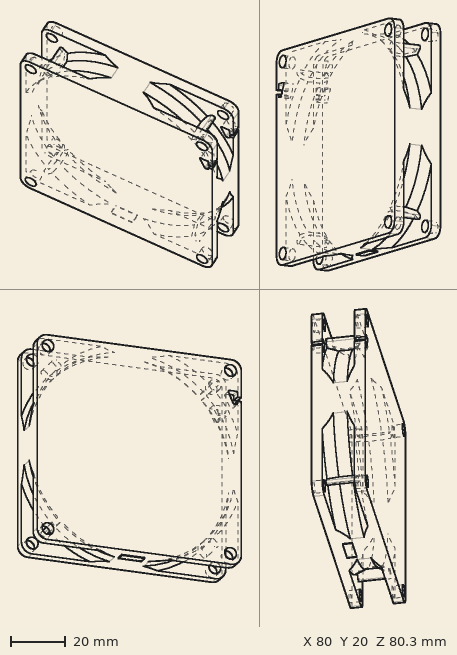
import cadquery as cq

side = 80.0
depth = 20.0
half_side = side / 2
flange_thickness = 4.0
corner_radius = 4.0

waist_start = 8.2
waist_end = 13.3
waist_radius = 40.55
flare_radius = 42.15

hole_spacing = 71.5
hole_diameter = 4.5

rib_root_distance = 38.55
rib_tip_distance = 45.45
rib_width = 1.9
rib_tip_fillet = 0.9

notch_inner_x = 34.6
notch_outer_x = 38.5
notch_foot_x = 36.9
notch_top_z = 27.9
notch_bottom_z = 22.8
notch_corner_radius = 0.5
slot_top_z = 25.7
slot_bottom_z = 24.1

pad_start_x = -5.0
pad_end_x = 4.0
pad_start_y = 4.8
pad_end_y = 8.4
pad_height = 0.3


def slab(outline, start_y, thickness):
    """Extrude a closed XZ outline towards +Y from start_y."""
    return outline.extrude(-thickness).translate((0, start_y, 0))


def square_block(start_y, thickness):
    block = slab(cq.Workplane("XZ").rect(side, side), start_y, thickness)
    return block.edges("|Y").fillet(corner_radius)


def make_drum():
    """Waisted drum about the Y axis, trimmed flush with the four sides."""
    profile = [
        (0, 0),
        (flare_radius, 0),
        (flare_radius, flange_thickness),
        (waist_radius, waist_start),
        (waist_radius, waist_end),
        (flare_radius, depth - flange_thickness),
        (flare_radius, depth),
        (0, depth),
    ]
    drum = cq.Workplane("XY").polyline(profile).close().revolve(360, (0, 0, 0), (0, 1, 0))
    return drum.intersect(square_block(0, depth))


def make_rib(diagonal_angle):
    """Radial rib between the flanges, rooted inside the drum."""
    rib = cq.Workplane("XY").box(
        rib_tip_distance - rib_root_distance,
        depth - 2 * flange_thickness,
        rib_width,
        centered=(False, False, True),
    )
    rib = rib.edges("|Y and >X").fillet(rib_tip_fillet)
    rib = rib.translate((rib_root_distance, flange_thickness, 0))
    return rib.rotate((0, 0, 0), (0, 1, 0), diagonal_angle)


def make_notch():
    pocket_outline = [
        (notch_inner_x, notch_top_z),
        (notch_outer_x, notch_top_z),
        (notch_outer_x, notch_bottom_z),
        (notch_foot_x, notch_bottom_z),
    ]
    pocket = slab(cq.Workplane("XZ").polyline(pocket_outline).close(), 0, depth)
    pocket = pocket.edges("|Y").fillet(notch_corner_radius)
    slot = cq.Workplane("XY").box(
        half_side - notch_foot_x, depth, slot_top_z - slot_bottom_z, centered=False
    )
    return pocket.union(slot.translate((notch_foot_x, 0, slot_bottom_z)))


def make_screw_holes():
    holes = cq.Workplane("XZ").rect(hole_spacing, hole_spacing, forConstruction=True).vertices()
    return slab(holes.circle(hole_diameter / 2), 0, depth)


def make_pad():
    pad = cq.Workplane("XY").box(
        pad_end_x - pad_start_x,
        pad_end_y - pad_start_y,
        pad_height + flange_thickness,
        centered=False,
    )
    return pad.translate((pad_start_x, pad_start_y, -half_side - pad_height))


result = make_drum()
for flange_start in (0, depth - flange_thickness):
    result = result.union(square_block(flange_start, flange_thickness))
for quarter in range(4):
    result = result.union(make_rib(45 + 90 * quarter))
result = result.cut(make_screw_holes()).cut(make_notch()).union(make_pad())